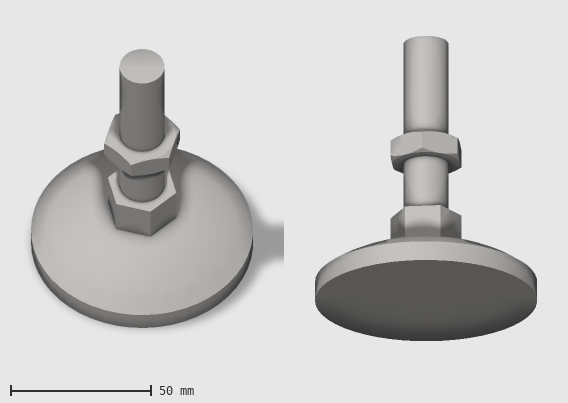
import cadquery as cq
import math

foot_diameter = 79.0
rim_height = 7.2
foot_height = 18.0
foot_top_diameter = 23.9
dome_bulge = 2.0

total_height = 98.0
stud_diameter = 16.0
stud_hex_flats = 22.0
stud_hex_height = 13.9

nut_flats = 24.0
nut_bottom = 52.0
nut_height = 8.0
nut_chamfer_angle = 30.0


def hexagon(across_flats, height, bottom, turn):
    """Upright hexagonal prism; a turn of zero puts corners on the X axis."""
    across_corners = across_flats / math.cos(math.radians(30))
    return (
        cq.Workplane("XY")
        .polygon(6, across_corners)
        .extrude(height)
        .rotate((0, 0, 0), (0, 0, 1), turn)
        .translate((0, 0, bottom))
    )


def make_foot():
    """Round foot with a domed upper side and a small flat on top."""
    rim_radius = foot_diameter / 2
    top_radius = foot_top_diameter / 2
    run = rim_radius - top_radius
    rise = foot_height - rim_height
    chord = math.hypot(run, rise)
    dome_middle = (
        (rim_radius + top_radius) / 2 + dome_bulge * rise / chord,
        (rim_height + foot_height) / 2 + dome_bulge * run / chord,
    )
    return (
        cq.Workplane("XZ")
        .lineTo(rim_radius, 0)
        .lineTo(rim_radius, rim_height)
        .threePointArc(dome_middle, (top_radius, foot_height))
        .lineTo(0, foot_height)
        .close()
        .revolve(360, (0, 0, 0), (0, 1, 0))
    )


def make_stud():
    """Plain round stud rising from a hexagon that stands on the foot."""
    stud_hex = hexagon(stud_hex_flats, stud_hex_height, foot_height, 30)
    shank = (
        cq.Workplane("XY")
        .workplane(offset=foot_height)
        .circle(stud_diameter / 2)
        .extrude(total_height - foot_height)
    )
    return stud_hex.union(shank)


def make_nut():
    """Hexagon nut with its corners turned down conically at both ends."""
    face_radius = nut_flats / 2
    corner_radius = face_radius / math.cos(math.radians(30))
    chamfer_height = (corner_radius - face_radius) * math.tan(math.radians(nut_chamfer_angle))
    turned_envelope = (
        cq.Workplane("XZ")
        .lineTo(face_radius, 0)
        .lineTo(corner_radius, chamfer_height)
        .lineTo(corner_radius, nut_height - chamfer_height)
        .lineTo(face_radius, nut_height)
        .lineTo(0, nut_height)
        .close()
        .revolve(360, (0, 0, 0), (0, 1, 0))
        .translate((0, 0, nut_bottom))
    )
    bore = (
        cq.Workplane("XY")
        .workplane(offset=nut_bottom)
        .circle(stud_diameter / 2)
        .extrude(nut_height)
    )
    return hexagon(nut_flats, nut_height, nut_bottom, 0).intersect(turned_envelope).cut(bore)


foot = make_foot()
stud = make_stud()
nut = make_nut()

result = cq.Compound.makeCompound([foot.val(), stud.val(), nut.val()])